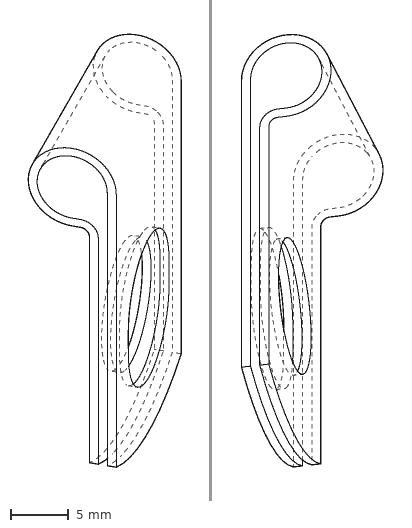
import cadquery as cq
import math

strip_width = 19.05
sheet = 0.8128
loop_bore = 6.35
leg_gap = sheet
bend_inner = sheet
overall_height = 34.14
hole_diameter = 11.9
slot_length = 14.3
hole_above_tip = 12.7
tip_sagitta = 2.14

loop_inner = loop_bore / 2
loop_outer = loop_inner + sheet
bend_outer = bend_inner + sheet
inner_leg_right = loop_inner - leg_gap
inner_leg_left = inner_leg_right - sheet
bend_x = inner_leg_right - bend_outer
bend_z = -loop_inner - bend_outer
tip_z = loop_outer - overall_height
corner_z = tip_z + tip_sagitta
half_width = strip_width / 2
hole_z = tip_z + hole_above_tip
mid_gap_x = inner_leg_right + leg_gap / 2


def bend_midpoint(radius):
    """Point halfway round the quarter bend between loop and inner leg."""
    offset = radius * math.sqrt(0.5)
    return (bend_x + offset, bend_z + offset)


def loop_midpoint(radius):
    """Point halfway round the three-quarter loop from +X over the top to -Z."""
    offset = radius * math.sqrt(0.5)
    return (-offset, offset)


def folded_strip():
    """Sheet bent into a loop with two parallel legs, extruded across the width."""
    return (
        cq.Workplane("XZ")
        .moveTo(loop_outer, tip_z)
        .lineTo(loop_outer, 0)
        .threePointArc(loop_midpoint(loop_outer), (0, -loop_outer))
        .lineTo(bend_x, -loop_outer)
        .threePointArc(bend_midpoint(bend_inner), (inner_leg_left, bend_z))
        .lineTo(inner_leg_left, tip_z)
        .lineTo(inner_leg_right, tip_z)
        .lineTo(inner_leg_right, bend_z)
        .threePointArc(bend_midpoint(bend_outer), (bend_x, -loop_inner))
        .lineTo(0, -loop_inner)
        .threePointArc(loop_midpoint(loop_inner), (loop_inner, 0))
        .lineTo(loop_inner, tip_z)
        .close()
        .extrude(half_width, both=True)
    )


def rounded_tip_envelope():
    """Side outline of the strip, with its lower end rounded by a shallow arc."""
    return (
        cq.Workplane("YZ")
        .moveTo(-half_width, loop_outer)
        .lineTo(-half_width, corner_z)
        .threePointArc((0, tip_z), (half_width, corner_z))
        .lineTo(half_width, loop_outer)
        .close()
        .extrude(loop_outer, both=True)
    )


def inner_leg_hole():
    """Round hole through the inner leg only, ending midway between the legs."""
    return (
        cq.Workplane("YZ", origin=(mid_gap_x, 0, hole_z))
        .circle(hole_diameter / 2)
        .extrude(-loop_outer)
    )


def outer_leg_slot():
    """Upright slot through the outer leg only, centred on the round hole."""
    return (
        cq.Workplane("YZ", origin=(mid_gap_x, 0, hole_z))
        .slot2D(slot_length, hole_diameter, 90)
        .extrude(loop_outer)
    )


result = (
    folded_strip()
    .intersect(rounded_tip_envelope())
    .cut(inner_leg_hole())
    .cut(outer_leg_slot())
)